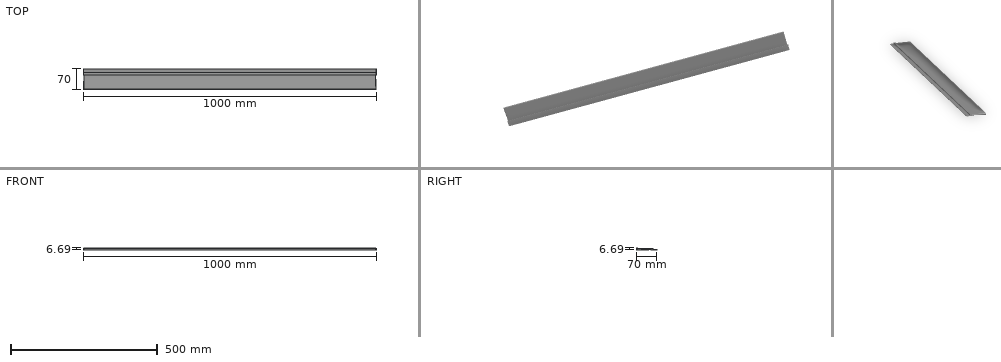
import cadquery as cq
import math

length = 1000.0
width = 70.0
front_thickness = 6.69

wedge_depth = 50.0
taper_angle = 2.0
end_inset = 4.0

rib_depth = 7.0
rib_thickness = 6.0
tongue_thickness = 2.0

front_y = -width / 2
rib_front_y = front_y + wedge_depth
tongue_front_y = rib_front_y + rib_depth
tongue_depth = width - wedge_depth - rib_depth
front_half = front_thickness / 2
rear_half = front_half - wedge_depth * math.tan(math.radians(taper_angle))
wedge_length = length - 2 * end_inset
strip_bottom_z = -rib_thickness / 2


def wedge_plate():
    """Tapered plate, symmetric about z = 0 and thickest at the front."""
    profile = [
        (front_y, -front_half),
        (rib_front_y, -rear_half),
        (rib_front_y, rear_half),
        (front_y, front_half),
    ]
    return cq.Workplane("YZ").polyline(profile).close().extrude(wedge_length / 2, both=True)


def rounded_end(x):
    """Cone along Y that gives one end of the wedge a full round."""
    base = cq.Vector(x, front_y, 0)
    toward_rear = cq.Vector(0, 1, 0)
    return cq.Workplane(cq.Solid.makeCone(front_half, rear_half, wedge_depth, base, toward_rear))


def full_length_strip(start_y, depth, thickness):
    """Rectangular strip over the whole length, standing on the common bottom plane."""
    strip = cq.Workplane().box(length, depth, thickness, centered=(True, False, False))
    return strip.translate((0, start_y, strip_bottom_z))


result = wedge_plate()
for end_x in (-wedge_length / 2, wedge_length / 2):
    result = result.union(rounded_end(end_x))
result = result.union(full_length_strip(rib_front_y, rib_depth, rib_thickness))
result = result.union(full_length_strip(tongue_front_y, tongue_depth, tongue_thickness))